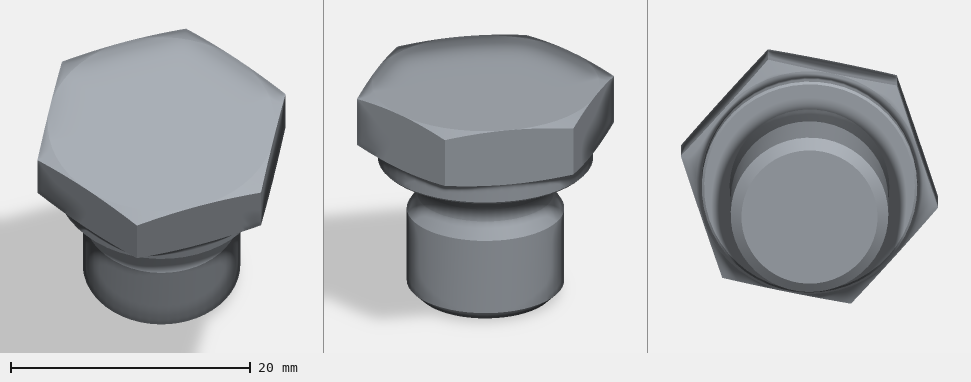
import cadquery as cq
import math

corner_diameter = 21.95
flats_width = corner_diameter * math.cos(math.pi / 6)
head_height = 5.0
corner_chamfer_angle = 15

total_height = 19.0
collar_radius = 9
collar_height = 2.0
collar_chamfer = 0.2
shank_radius = 6.58
shank_top = 7.55
tip_chamfer = 0.9

neck_top_radius = 6.67
neck_radius = 5.6
groove_edge_radius = 5.7
upper_cone_end = 10.03
lower_cone_start = 8.93

head_bottom = total_height - head_height
collar_bottom = head_bottom - collar_height


def make_head():
    """Hexagonal prism with its corners cut by a cone at both ends."""
    corner_radius = corner_diameter / 2
    flat_radius = flats_width / 2
    chamfer_height = (corner_radius - flat_radius) * math.tan(math.radians(corner_chamfer_angle))
    prism = (
        cq.Workplane("XY")
        .workplane(offset=head_bottom)
        .polygon(6, corner_diameter)
        .extrude(head_height)
        .rotate((0, 0, 0), (0, 0, 1), 30)
    )
    corner_envelope = (
        cq.Workplane("XZ")
        .moveTo(0, head_bottom)
        .lineTo(flat_radius, head_bottom)
        .lineTo(corner_radius, head_bottom + chamfer_height)
        .lineTo(corner_radius, total_height - chamfer_height)
        .lineTo(flat_radius, total_height)
        .lineTo(0, total_height)
        .close()
        .revolve(360, (0, 0, 0), (0, 1, 0))
    )
    return prism.intersect(corner_envelope)


def make_turned_body():
    """Collar, undercut neck and shank as one revolved profile."""
    return (
        cq.Workplane("XZ")
        .lineTo(shank_radius - tip_chamfer, 0)
        .lineTo(shank_radius, tip_chamfer)
        .lineTo(shank_radius, shank_top)
        .lineTo(groove_edge_radius, lower_cone_start)
        .threePointArc(
            (neck_radius, (lower_cone_start + upper_cone_end) / 2),
            (groove_edge_radius, upper_cone_end),
        )
        .lineTo(neck_top_radius, collar_bottom)
        .lineTo(collar_radius - collar_chamfer, collar_bottom)
        .lineTo(collar_radius, collar_bottom + collar_chamfer)
        .lineTo(collar_radius, head_bottom)
        .lineTo(0, head_bottom)
        .close()
        .revolve(360, (0, 0, 0), (0, 1, 0))
    )


result = make_head().union(make_turned_body())